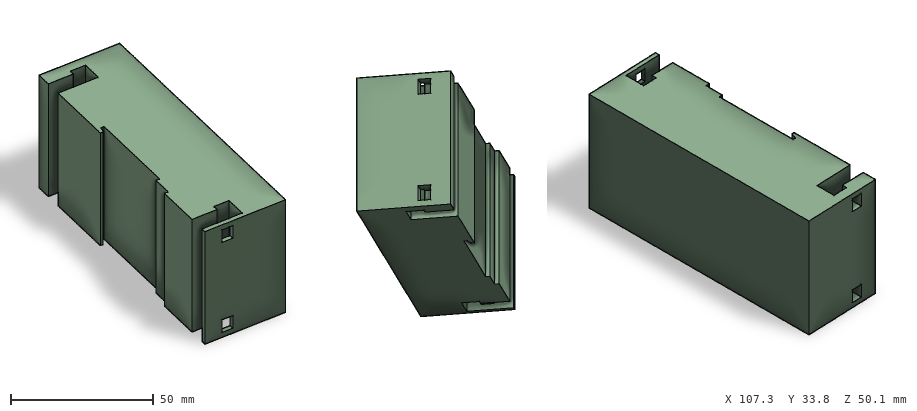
import cadquery as cq

length = 107.3
depth = 33.8
height = 50.1

slot_depth = 16.8
catch_length = 10.5
left_undercut_x = 4.1
left_catch_x = 6.0
left_slot_end = 12.3
right_undercut_x = 96.9
right_catch_x = 98.9
right_wall = 1.8

recess_depth = 3.1
recess_start = 37.2
lip_x = 39.7
lip_front = 1.2
lip_back = 1.9
recess_end = 73.2
step_end = 81.0
step_depth = 1.6

window_height = 5.6
window_y = 7.2
window_width = 4.5
window_margin = 2.3
left_window_depth = 5.4


def slot(undercut_x, catch_x, end_x):
    """Full-height front slot that widens to the left behind its catch."""
    points = [
        (catch_x, 0),
        (end_x, 0),
        (end_x, slot_depth),
        (undercut_x, slot_depth),
        (undercut_x, catch_length),
        (catch_x, catch_length),
    ]
    return cq.Workplane("XY").polyline(points).close().extrude(height)


def rail_recess():
    points = [
        (lip_x, 0),
        (lip_x, lip_front),
        (recess_start, lip_back),
        (recess_start, recess_depth),
        (recess_end, recess_depth),
        (recess_end, step_depth),
        (step_end, step_depth),
        (step_end, 0),
    ]
    return cq.Workplane("XY").polyline(points).close().extrude(height)


def window(start_x, window_depth, bottom_z):
    """Rectangular opening running along X."""
    return cq.Workplane("XY").box(
        window_depth, window_width, window_height, centered=False
    ).translate((start_x, window_y, bottom_z))


result = cq.Workplane("XY").box(length, depth, height, centered=False)
result = result.cut(slot(left_undercut_x, left_catch_x, left_slot_end))
result = result.cut(slot(right_undercut_x, right_catch_x, length - right_wall))
result = result.cut(rail_recess())

for bottom_z in (window_margin, height - window_margin - window_height):
    result = result.cut(window(0, left_window_depth, bottom_z))
    result = result.cut(window(length - right_wall, right_wall, bottom_z))